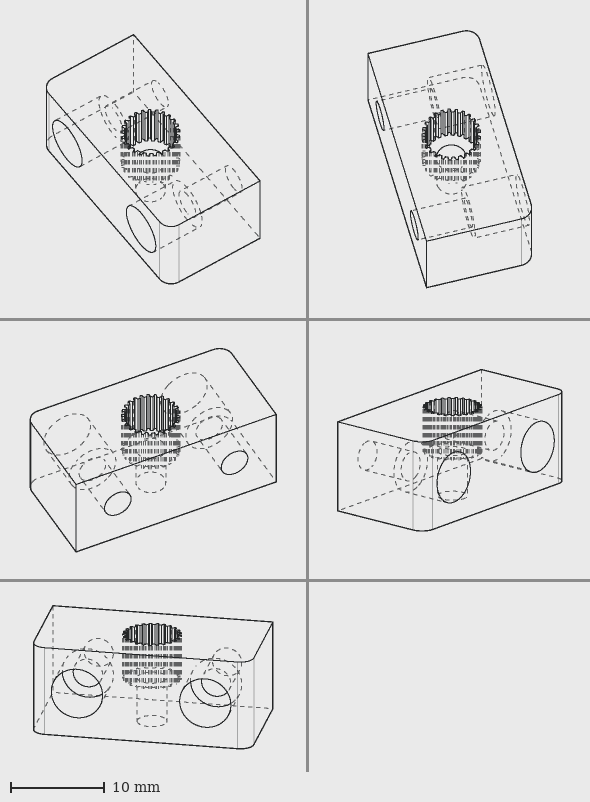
import cadquery as cq
import math

length = 24.0
width = 12.0
height = 10.0
corner_radius = 1.5

screw_hole_diameter = 3.2
screw_head_diameter = 5.6
screw_head_depth = width / 2
screw_spacing = 14.0

shaft_hole_diameter = 3.2
spline_root_diameter = 6.3
spline_tip_diameter = 5.6
spline_depth = height / 2
tooth_count = 25
tooth_base_width = 0.58
tooth_tip_width = 0.3
first_tooth_angle = -90.0


def make_block():
    """Rectangular block with its two upright front edges rounded."""
    block = cq.Workplane("XY").box(length, width, height)
    return block.edges("|Z and <Y").fillet(corner_radius)


def make_screw_hole(x):
    """Through hole along Y with a head recess opening on the front face."""
    front_face = cq.Workplane("XZ", origin=(x, -width / 2, 0))
    hole = front_face.circle(screw_hole_diameter / 2).extrude(-width)
    recess = front_face.circle(screw_head_diameter / 2).extrude(-screw_head_depth)
    return hole.union(recess)


def make_spline_socket():
    """Round pocket with trapezoidal teeth left standing on its wall."""
    root_radius = spline_root_diameter / 2
    tip_radius = spline_tip_diameter / 2
    half_base = tooth_base_width / 2
    half_tip = tooth_tip_width / 2
    base_distance = math.sqrt(root_radius**2 - half_base**2)
    tip_distance = math.sqrt(tip_radius**2 - half_tip**2)

    def place(along, across, angle):
        """Turn a point on a tooth to the angle of that tooth."""
        return (
            along * math.cos(angle) - across * math.sin(angle),
            along * math.sin(angle) + across * math.cos(angle),
        )

    tooth_pitch = 2 * math.pi / tooth_count
    first_angle = math.radians(first_tooth_angle)
    socket_floor = cq.Workplane("XY", origin=(0, 0, height / 2 - spline_depth))
    outline = socket_floor.moveTo(*place(base_distance, -half_base, first_angle))
    for tooth in range(tooth_count):
        angle = first_angle + tooth * tooth_pitch
        next_angle = angle + tooth_pitch
        gap_middle = place(root_radius, 0, angle + tooth_pitch / 2)
        outline = (
            outline.lineTo(*place(tip_distance, -half_tip, angle))
            .threePointArc(place(tip_radius, 0, angle), place(tip_distance, half_tip, angle))
            .lineTo(*place(base_distance, half_base, angle))
            .threePointArc(gap_middle, place(base_distance, -half_base, next_angle))
        )
    return outline.close().extrude(spline_depth)


def make_shaft_hole():
    """Plain hole through the full height on the socket axis."""
    bottom_face = cq.Workplane("XY", origin=(0, 0, -height / 2))
    return bottom_face.circle(shaft_hole_diameter / 2).extrude(height)


result = make_block()
for side in (-1, 1):
    result = result.cut(make_screw_hole(side * screw_spacing / 2))
result = result.cut(make_spline_socket())
result = result.cut(make_shaft_hole())